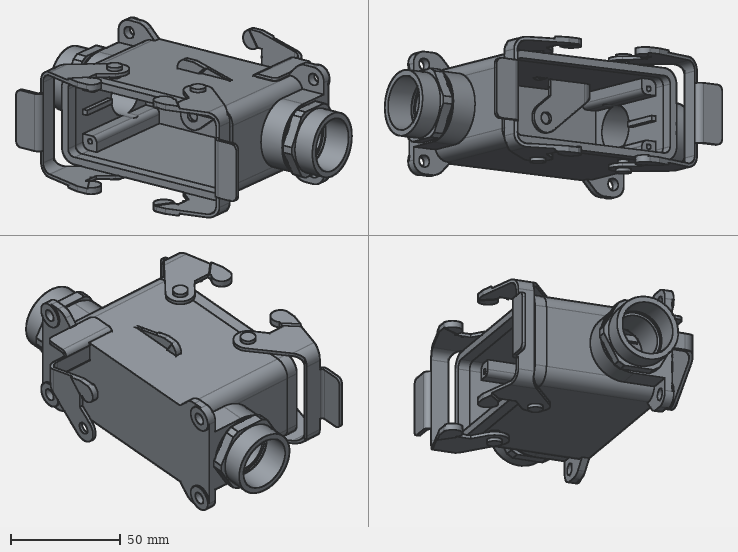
import cadquery as cq
import math


half_length = 46.6
half_height = 21.6
corner_radius = 7.0
wall = 3.6
back_y = 19.2
rim_y = -44.0
rim_back_y = -38.2
inner_half_length = half_length - wall
inner_half_height = half_height - wall
cavity_floor_y = back_y - wall

post_length_x = 7.8
post_width_z = 7.4
post_corner_radius = 2.7
post_front_y = -32.5
screw_hole_diameter = 2.4
screw_hole_x = 39.0
screw_hole_z = 13.5
rib_size = 2.4
rib_back_y = -13.5
rib_front_y = post_front_y

collar_end_x = 58.6
collar_radius = 16.5
ear_top_z = 28.5
ear_outer_radius = 6.0
ear_inner_radius = 7.5
ear_flat = 4.6
ear_hole_diameter = 5.5
ear_hole_x = 52.6
ear_hole_z = 22.5
pad_diameter = 12.0
pad_height = 0.9

gland_end_x = 75.0
nut_inner_x = 60.0
nut_outer_x = 65.1
nut_across_flats = 32.1
nut_across_corners = 35.1
nut_turn = 30
neck_diameter = 31.0
tube_diameter = 30.5
tube_bore = 25.0
seat_bore = 24.3
seat_end_x = 62.1
throat_end_x = 60.9
entry_bore = 21.8

sheet = 1.6
arm_outer_z = 25.6
arm_inner_z = arm_outer_z - sheet
web_outer = 27.2
web_top = 12.2
bend_radius = 6.0
eye_radius = 6.8
eye_hole_diameter = 5.5
arm_angle = math.radians(39)
notch_x = 2.5
hook_radius = 4.6
hook_center = (-3.2, -22.2)
hook_bottom = hook_center[1] - hook_radius
hook_throat = -18.8
hook_outer_z = 26.7
hook_inner_z = 23.5
hook_step_offset = 16.8
hook_ramp = 0.6
tip_start_x = 0.5
tip_angle = 32
lower_edge_web = (web_outer, -20.1)
lower_edge_hook = (1.4, hook_bottom)
hook_flat_end = (-3.9, hook_bottom)
grip_end = 39.0
grip_bottom = -23.2
grip_half_width = 14.0
grip_bend_radius = 3.0
grip_corner_radius = 2.7

pivot_x = 23.8
pivot_y = -34.0
pin_diameter = 5.0
pin_head_diameter = 7.0
pin_head_z = 27.3
cross_lever_z = -0.3


def box(x_range, y_range, z_range):
    """Box from its limits along each axis."""
    sizes = [limits[1] - limits[0] for limits in (x_range, y_range, z_range)]
    return cq.Workplane("XY").box(*sizes, centered=False).translate((x_range[0], y_range[0], z_range[0]))


def rod(x_start, x_end, diameter):
    """Cylinder along the cable entry axis."""
    return cq.Workplane("YZ", origin=(x_start, 0, 0)).circle(diameter / 2).extrude(x_end - x_start)


def rounded_prism(half_x, half_z, radius, y_start, y_end):
    """Prism along Y with a rounded rectangular section."""
    prism = box((-half_x, half_x), (y_start, y_end), (-half_z, half_z))
    return prism.edges("|Y").fillet(radius)


def both_ends(body):
    """The body joined with its mirror image across the YZ plane."""
    return body.union(body.mirror("YZ"))


def four_corners(body):
    """The body repeated in all four XZ quadrants."""
    pair = both_ends(body)
    return pair.union(pair.mirror("XY"))


def make_shell(y_start, y_end):
    """Outer envelope of the housing walls."""
    return rounded_prism(half_length, half_height, corner_radius, y_start, y_end)


def make_cavity(y_start, y_end):
    """Hollow inside the housing walls."""
    return rounded_prism(inner_half_length, inner_half_height, corner_radius - wall, y_start, y_end)


def make_post():
    """Corner post at +X, +Z, trimmed to the rounded outside of the shell."""
    return (
        box(
            (inner_half_length - post_length_x, half_length - wall / 2),
            (post_front_y, back_y - wall / 2),
            (inner_half_height - post_width_z, half_height - wall / 2),
        )
        .edges("|Y and <X and <Z")
        .fillet(post_corner_radius)
        .intersect(make_shell(rim_y, back_y))
    )


def make_ear():
    """Mounting ear at +X, +Z with a round raised pad on its back face."""
    root_z = collar_radius
    diagonal = math.sqrt(0.5)
    flat_outer_x = collar_end_x - ear_outer_radius
    flat_inner_x = flat_outer_x - ear_flat
    slope_x = flat_inner_x - ear_inner_radius * diagonal
    slope_z = ear_top_z - ear_inner_radius * (1 - diagonal)
    foot_x = slope_x - (slope_z - root_z)
    outline = (
        cq.Workplane("XZ", origin=(0, back_y, 0))
        .moveTo(collar_end_x, root_z)
        .lineTo(collar_end_x, ear_top_z - ear_outer_radius)
        .radiusArc((flat_outer_x, ear_top_z), -ear_outer_radius)
        .lineTo(flat_inner_x, ear_top_z)
        .radiusArc((slope_x, slope_z), -ear_inner_radius)
        .lineTo(foot_x, root_z)
        .close()
    )
    plate = outline.extrude(wall)
    pad = (
        cq.Workplane("XZ", origin=(ear_hole_x, back_y + pad_height, ear_hole_z))
        .circle(pad_diameter / 2)
        .extrude(wall + pad_height)
    )
    return plate.union(pad)


def make_collar():
    """Cable entry collar at +X: round toward the opening, square toward the back."""
    start_x = half_length - wall / 2
    block = box((start_x, collar_end_x), (0, back_y), (-collar_radius, collar_radius))
    return rod(start_x, collar_end_x, 2 * collar_radius).union(block)


def make_pin(x_side, z_side):
    """Headed pivot pin standing on one wall of the shell."""
    base_z = half_height - wall / 2
    stem = cq.Workplane("XY", origin=(0, 0, base_z)).circle(pin_diameter / 2).extrude(arm_outer_z - base_z)
    head = (
        cq.Workplane("XY", origin=(0, 0, arm_outer_z))
        .circle(pin_head_diameter / 2)
        .extrude(pin_head_z - arm_outer_z)
    )
    pin = stem.union(head).translate((x_side * pivot_x, pivot_y, 0))
    return pin if z_side > 0 else pin.mirror("XY")


def make_entry():
    """Cable entry at +X: collar, gland neck, hexagon nut and tube."""
    nut_length = nut_outer_x - nut_inner_x
    nut_start = cq.Workplane("YZ", origin=(nut_inner_x, 0, 0))
    flats = nut_start.polygon(6, nut_across_flats, circumscribed=True).extrude(nut_length)
    corners = nut_start.polygon(6, nut_across_corners, circumscribed=True).extrude(nut_length)
    nut = flats.rotate((0, 0, 0), (1, 0, 0), nut_turn).intersect(corners)
    neck = rod(collar_end_x, nut_inner_x, neck_diameter)
    tube = rod(nut_outer_x, gland_end_x, tube_diameter)
    return make_collar().union(neck).union(nut).union(tube)


def make_entry_bore():
    """Stepped bore from the tube end at +X into the cavity, cleared past the corner posts."""
    throat = rod(inner_half_length - post_length_x, throat_end_x, entry_bore)
    seat = rod(throat_end_x, seat_end_x, seat_bore)
    return throat.union(seat).union(rod(seat_end_x, gland_end_x, tube_bore))


def make_rim():
    """Frame around the opening, flush with the housing walls inside and out."""
    return make_shell(rim_y, rim_back_y).cut(make_cavity(rim_y, rim_back_y))


def make_housing():
    """Walls, posts, ears, cable entries and pivot pins as one body."""
    body = make_shell(rim_back_y, back_y)
    body = body.union(both_ends(make_entry())).union(four_corners(make_ear()))
    body = body.cut(make_cavity(rim_back_y, cavity_floor_y)).union(four_corners(make_post()))

    rib = box(
        (inner_half_length - rib_size, half_length - wall / 2),
        (rib_front_y, rib_back_y),
        (-rib_size / 2, rib_size / 2),
    )
    body = body.union(both_ends(rib))

    screw_hole = (
        cq.Workplane("XZ", origin=(screw_hole_x, cavity_floor_y, screw_hole_z))
        .circle(screw_hole_diameter / 2)
        .extrude(cavity_floor_y - post_front_y)
    )
    ear_hole = (
        cq.Workplane("XZ", origin=(ear_hole_x, back_y + pad_height, ear_hole_z))
        .circle(ear_hole_diameter / 2)
        .extrude(wall + pad_height)
    )
    body = body.cut(four_corners(screw_hole)).cut(four_corners(ear_hole))
    body = body.cut(both_ends(make_entry_bore()))

    for x_side in (-1, 1):
        for z_side in (-1, 1):
            body = body.union(make_pin(x_side, z_side))
    return body


def lever_outline(thickness, base_z):
    """Flat lever arm with its pivot at the origin, web toward +X and hook toward -Y."""
    sine = math.sin(arm_angle)
    cosine = math.cos(arm_angle)
    eye_outer = (eye_radius * sine, eye_radius * cosine)
    eye_inner = (-eye_radius * sine, -eye_radius * cosine)
    slope_end_x = (eye_radius + web_top * cosine) / sine
    notch_top = -(eye_radius + notch_x * sine) / cosine
    throat_x = hook_center[0] + math.sqrt(hook_radius**2 - (hook_throat - hook_center[1]) ** 2)
    return (
        cq.Workplane("XY", origin=(0, 0, base_z))
        .moveTo(*eye_outer)
        .lineTo(slope_end_x, -web_top)
        .lineTo(web_outer, -web_top)
        .lineTo(*lower_edge_web)
        .lineTo(*lower_edge_hook)
        .lineTo(*hook_flat_end)
        .threePointArc((hook_center[0] - hook_radius, hook_center[1]), (throat_x, hook_throat))
        .lineTo(notch_x, hook_throat)
        .lineTo(notch_x, notch_top)
        .lineTo(*eye_inner)
        .threePointArc((-eye_radius * cosine, eye_radius * sine), eye_outer)
        .close()
        .extrude(thickness)
    )


def make_hook():
    """Hook of the upper arm, ramped up on its outer face and stepped at its tip on its inner face."""
    reach = 2 * web_outer
    step_plane = cq.Plane(origin=(0, -hook_step_offset, 0), xDir=(-1, -1, 0), normal=(-1, 1, 0))
    ramped_block = (
        cq.Workplane(step_plane)
        .polyline(
            [
                (0, arm_inner_z),
                (reach, arm_inner_z),
                (reach, hook_outer_z),
                (hook_ramp, hook_outer_z),
                (0, arm_outer_z),
            ]
        )
        .close()
        .extrude(reach, both=True)
    )
    tip_block = (
        box((-reach, 0), (-reach, hook_radius), (hook_inner_z, arm_outer_z))
        .rotate((0, 0, 0), (0, 0, 1), -tip_angle)
        .translate((tip_start_x, hook_throat, 0))
    )
    outline = lever_outline(hook_outer_z - hook_inner_z, hook_inner_z)
    return outline.intersect(ramped_block.union(tip_block))


def make_grip():
    """Finger grip bent outward from the web."""
    web_inner = web_outer - sheet
    bend_start = grip_bottom + grip_bend_radius
    bend_end = web_inner + grip_bend_radius
    root = bend_start + sheet
    profile = (
        cq.Workplane("XY", origin=(0, 0, -grip_half_width))
        .moveTo(web_inner, root)
        .lineTo(web_inner, bend_start)
        .radiusArc((bend_end, grip_bottom), -grip_bend_radius)
        .lineTo(grip_end, grip_bottom)
        .lineTo(grip_end, grip_bottom + sheet)
        .lineTo(bend_end, grip_bottom + sheet)
        .radiusArc((web_outer, bend_start), grip_bend_radius - sheet)
        .lineTo(web_outer, root)
        .close()
    )
    return profile.extrude(2 * grip_half_width).edges("|Y and >X").fillet(grip_corner_radius)


def make_lever():
    """U-shaped locking lever around a pivot axis along Z at the origin."""
    reach = 2 * web_outer
    outer = box((-reach, web_outer), (-reach, reach), (-arm_outer_z, arm_outer_z))
    inner = box((-reach, web_outer - sheet), (-reach, reach), (-arm_inner_z, arm_inner_z))
    strip = (
        outer.edges("|Y and >X").fillet(bend_radius)
        .cut(inner.edges("|Y and >X").fillet(bend_radius - sheet))
    )
    lever = strip.intersect(lever_outline(2 * arm_outer_z, -arm_outer_z))
    hook = make_hook()
    lever = lever.union(hook).union(hook.mirror("XY")).union(make_grip())
    eye_holes = (
        cq.Workplane("XY", origin=(0, 0, -arm_outer_z)).circle(eye_hole_diameter / 2).extrude(2 * arm_outer_z)
    )
    return lever.cut(eye_holes)


lever = make_lever()

end_lever = lever.translate((pivot_x, pivot_y, 0))
levers = [end_lever.rotate((0, 0, 0), (0, 1, 0), turn) for turn in (0, 180)]

cross_lever = lever.rotate((0, 0, 0), (1, 0, 0), -90).translate((0, back_y, cross_lever_z))
levers.append(cross_lever)

housing = make_housing().cut(cross_lever)
rim = make_rim()

result = cq.Compound.makeCompound([housing.val(), rim.val(), *[body.val() for body in levers]])